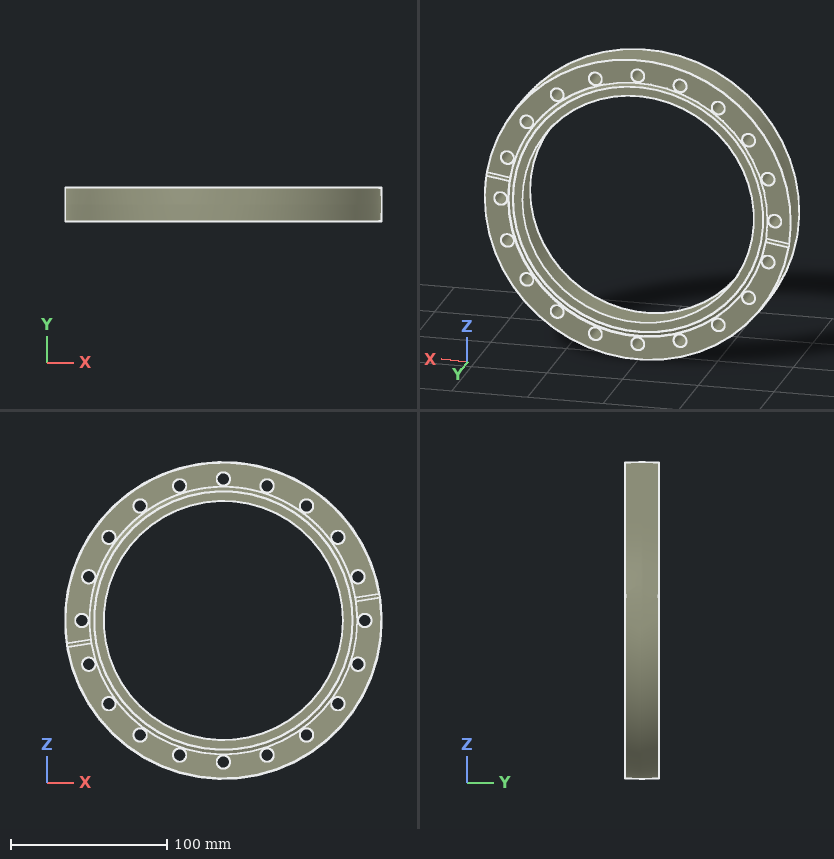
import cadquery as cq
import math

crown_diameter = 203.0
rim_diameter = 202.4
thickness = 22.1
bore_diameter = 152.9
crown_land = 0.5
rim_chamfer = 0.2

recess_diameter = 171.3
knife_diameter = 165.6
knife_root_diameter = 165.0
recess_depth = 1.8
knife_depth = 0.6
seat_depth = 1.0

bolt_count = 20
bolt_hole_diameter = 8.3
bolt_hole_chamfer = 0.2
bolt_circle_diameter = 181.0

groove_width = 2.5
groove_depth = 0.6
groove_angle = 9.0
groove_overrun = 0.2

half_thickness = thickness / 2


def flange_body():
    """Revolve the section (radius, Y); its front half is mirrored so both faces carry a knife edge."""
    rim_radius = rim_diameter / 2
    front = -half_thickness
    front_half = [
        (bore_diameter / 2, front + seat_depth),
        (knife_root_diameter / 2, front + seat_depth),
        (knife_diameter / 2, front + knife_depth),
        (recess_diameter / 2, front + recess_depth),
        (recess_diameter / 2, front),
        (rim_radius - rim_chamfer, front),
        (rim_radius, front + rim_chamfer),
        (crown_diameter / 2, -crown_land / 2),
    ]
    back_half = [(radius, -y) for radius, y in reversed(front_half)]
    section = cq.Workplane("XY").polyline(front_half + back_half).close()
    return section.revolve(360, (0, 0, 0), (0, 1, 0))


def bolt_holes():
    """Through holes, each with a small chamfer at both faces."""
    hole_radius = bolt_hole_diameter / 2
    mouth_radius = hole_radius + bolt_hole_chamfer
    straight_end = half_thickness - bolt_hole_chamfer
    section = [
        (0, -half_thickness),
        (mouth_radius, -half_thickness),
        (hole_radius, -straight_end),
        (hole_radius, straight_end),
        (mouth_radius, half_thickness),
        (0, half_thickness),
    ]
    hole = cq.Workplane("XY").polyline(section).close().revolve(360, (0, 0, 0), (0, 1, 0)).val()
    holes = cq.Workplane("XY")
    for index in range(bolt_count):
        angle = 2 * math.pi * index / bolt_count
        x = bolt_circle_diameter / 2 * math.cos(angle)
        z = bolt_circle_diameter / 2 * math.sin(angle)
        holes = holes.add(hole.translate(cq.Vector(x, 0, z)))
    return holes.combine()


def leak_check_grooves():
    """Two opposite round-bottomed grooves in each face, running from the recess out past the rim."""
    inner_radius = recess_diameter / 2 - groove_overrun
    outer_radius = crown_diameter / 2 + groove_overrun
    groove_radius = ((groove_width / 2) ** 2 + groove_depth**2) / (2 * groove_depth)
    level_groove = (
        cq.Workplane("YZ", origin=(inner_radius, 0, 0))
        .pushPoints([
            (groove_depth - groove_radius - half_thickness, 0),
            (half_thickness + groove_radius - groove_depth, 0),
        ])
        .circle(groove_radius)
        .extrude(outer_radius - inner_radius)
    )
    first = level_groove.rotate((0, 0, 0), (0, -1, 0), groove_angle)
    opposite = first.rotate((0, 0, 0), (0, 1, 0), 180)
    return first.union(opposite)


result = flange_body().cut(bolt_holes()).cut(leak_check_grooves())